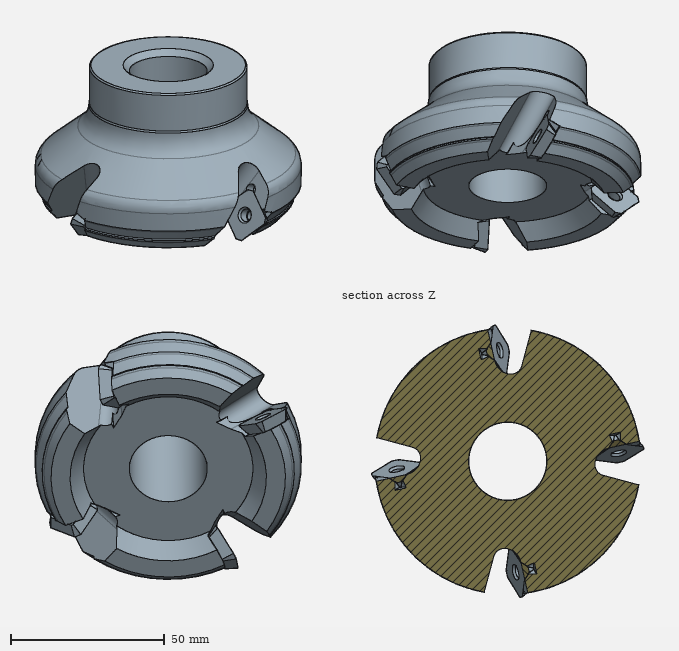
import cadquery as cq
import math


total_height = 50.02
cutting_reach = 88.82 / 2
tooth_count = 4

bottom_z = 1.05
hub_radius = 51.39 / 2
hub_chamfer = 0.5
hub_bottom_z = 37.0
neck_radius = 51.89 / 2
neck_top_z = 36.4
neck_fillet = 9.8
shoulder_slope = math.radians(39.4)
rim_radius = 43.4
rim_fillet = 5.1
rim_bottom_z = 8.9
rim_edge_radius = 43.0
rim_edge_z = 8.4
lip_radius = 41.1
lip_top_z = 4.7
lip_bottom_z = 4.2
groove_radius = 40.8
groove_z = 5.1
lower_cone_top_radius = 40.5
lower_cone_top_z = 3.7
bottom_radius = 38.2

bore_radius = 25.41 / 2
bore_chamfer = 2.0
recess_top_radius = 27.6
recess_bottom_radius = 32.0
recess_top_z = 6.5

insert_half = 6.7
insert_corner = 1.6
insert_thickness = 3.97
insert_relief_angle = 25.0
insert_hole_radius = 4.1 / 2
insert_sink_radius = 5.25 / 2
insert_sink_depth = 0.8

seat_clearance = 8.0
seat_rise = 4.0
notch_width = 0.7
notch_start = 2.0
seat_mouth_angle = 17.0
seat_relief_radius = 1.8
seat_relief_corner = 6.1
screw_hole_radius = 3.5 / 2
screw_hole_depth = 7.0

face_turn = math.radians(12.6)
face_tilt = math.radians(20.5)
face_x = 2.55

flute_radius = 4.0
flute_center = 5.8
flute_opening = math.radians(27.0)
flute_width = 30.0
flute_reach = 40.0

face_normal = cq.Vector(
    -math.cos(face_tilt) * math.cos(face_turn),
    -math.cos(face_tilt) * math.sin(face_turn),
    math.sin(face_tilt),
)
edge_direction = cq.Vector((face_normal.z - face_normal.y) / -face_normal.x, -1, 1).normalized()
inward_direction = face_normal.cross(edge_direction)
flute_lean = face_normal.z / (face_normal.y - face_normal.x)
flute_direction = cq.Vector(flute_lean, -flute_lean, 1).normalized()

edge_half = insert_half - insert_corner
edge_end_offset = edge_direction * edge_half - inward_direction * insert_half
edge_start_offset = edge_direction * -edge_half - inward_direction * insert_half
face_center = cq.Vector(
    face_x,
    -cutting_reach - edge_end_offset.y,
    -edge_start_offset.z,
)
face_plane = cq.Plane(origin=face_center, xDir=edge_direction, normal=face_normal)


def make_blank():
    """Body of revolution with its bore, before the flutes and seats are cut."""

    def arc_drop(radius, angle):
        return radius * (1 - math.cos(angle)), radius * math.sin(angle)

    turn = math.pi / 2 - shoulder_slope
    neck_dr, neck_dz = arc_drop(neck_fillet, turn)
    neck_mid_dr, neck_mid_dz = arc_drop(neck_fillet, turn / 2)
    rim_dr, rim_dz = arc_drop(rim_fillet, turn)
    rim_mid_dr, rim_mid_dz = arc_drop(rim_fillet, turn / 2)
    shoulder_top = (neck_radius + neck_dr, neck_top_z - neck_dz)
    shoulder_radius = rim_radius - rim_dr
    shoulder_z = shoulder_top[1] - (shoulder_radius - shoulder_top[0]) * math.tan(shoulder_slope)
    rim_top_z = shoulder_z - rim_dz

    return (
        cq.Workplane("XZ")
        .moveTo(bore_radius, recess_top_z)
        .lineTo(bore_radius, total_height - bore_chamfer)
        .lineTo(bore_radius + bore_chamfer, total_height)
        .lineTo(hub_radius - hub_chamfer, total_height)
        .lineTo(hub_radius, total_height - hub_chamfer)
        .lineTo(hub_radius, hub_bottom_z)
        .lineTo(neck_radius, neck_top_z)
        .threePointArc((neck_radius + neck_mid_dr, neck_top_z - neck_mid_dz), shoulder_top)
        .lineTo(shoulder_radius, shoulder_z)
        .threePointArc((rim_radius - rim_mid_dr, rim_top_z + rim_mid_dz), (rim_radius, rim_top_z))
        .lineTo(rim_radius, rim_bottom_z)
        .lineTo(rim_edge_radius, rim_edge_z)
        .lineTo(groove_radius, groove_z)
        .lineTo(lip_radius, lip_top_z)
        .lineTo(lip_radius, lip_bottom_z)
        .lineTo(lower_cone_top_radius, lower_cone_top_z)
        .lineTo(bottom_radius, bottom_z)
        .lineTo(recess_bottom_radius, bottom_z)
        .lineTo(recess_top_radius, recess_top_z)
        .close()
        .revolve(360, (0, 0, 0), (0, 1, 0))
    )


def make_flute():
    """V-shaped flute; local X runs inwards and local Y away from the insert face."""
    inwards = face_normal.cross(flute_direction)
    flute_plane = cq.Plane(origin=face_center, xDir=inwards, normal=flute_direction)
    tangent_x = flute_center + flute_radius * math.sin(flute_opening)
    tangent_y = flute_radius * (1 + math.cos(flute_opening))
    mid_angle = (math.pi + flute_opening) / 2
    mid_x = flute_center + flute_radius * math.sin(mid_angle)
    mid_y = flute_radius * (1 + math.cos(mid_angle))
    wall_end_y = tangent_y + (tangent_x + flute_width) * math.tan(flute_opening)
    return (
        cq.Workplane(flute_plane)
        .moveTo(-flute_width, 0)
        .lineTo(flute_center, 0)
        .threePointArc((mid_x, mid_y), (tangent_x, tangent_y))
        .lineTo(-flute_width, wall_end_y)
        .close()
        .extrude(flute_reach, both=True)
    )


def make_insert():
    """Square insert with cut corners, tapering away from its face, and a countersunk hole."""
    insert = (
        cq.Workplane(face_plane)
        .polyline([
            (-edge_half, -insert_half), (edge_half, -insert_half),
            (insert_half, -edge_half), (insert_half, edge_half),
            (edge_half, insert_half), (-edge_half, insert_half),
            (-insert_half, edge_half), (-insert_half, -edge_half),
        ])
        .close()
        .extrude(-insert_thickness, taper=insert_relief_angle)
    )
    hole = cq.Workplane(face_plane).circle(insert_hole_radius).extrude(-insert_thickness)
    sink = cq.Solid.makeCone(
        insert_sink_radius, insert_hole_radius, insert_sink_depth, face_center, face_normal * -1
    )
    return insert.cut(hole).cut(cq.Workplane(sink))


def make_seat():
    """Pocket that fits two flanks of the insert and is open on its two outer sides."""
    free = -insert_half - seat_clearance

    def sloping_walls(depth, taper):
        return (
            cq.Workplane(face_plane)
            .polyline([(free, free), (insert_half, free), (insert_half, insert_half), (free, insert_half)])
            .close()
            .extrude(depth, taper=taper)
        )

    pocket = sloping_walls(-insert_thickness, insert_relief_angle)
    mouth = sloping_walls(seat_rise, -seat_mouth_angle)
    corner_relief = (
        cq.Workplane(face_plane)
        .workplane(offset=-insert_thickness)
        .center(seat_relief_corner, seat_relief_corner)
        .circle(seat_relief_radius)
        .extrude(seat_rise + insert_thickness)
    )
    notch = (
        cq.Workplane(face_plane)
        .polyline([
            (0, free), (insert_half + notch_width, free),
            (insert_half + notch_width, -notch_start), (0, -notch_start),
        ])
        .close()
        .extrude(-insert_thickness)
    )
    screw_hole = (
        cq.Workplane(face_plane)
        .circle(screw_hole_radius)
        .extrude(-insert_thickness - screw_hole_depth)
    )
    return pocket.union(mouth).union(corner_relief).union(notch).union(screw_hole)


def tooth_copies(shape):
    """The same shape at every tooth around the spindle axis."""
    pitch = 360 / tooth_count
    return [shape.rotate((0, 0, 0), (0, 0, 1), i * pitch) for i in range(tooth_count)]


cutter_body = make_blank()
for cutout in tooth_copies(make_flute()) + tooth_copies(make_seat()):
    cutter_body = cutter_body.cut(cutout)

inserts = tooth_copies(make_insert())

result = cq.Compound.makeCompound([cutter_body.val(), *[insert.val() for insert in inserts]])